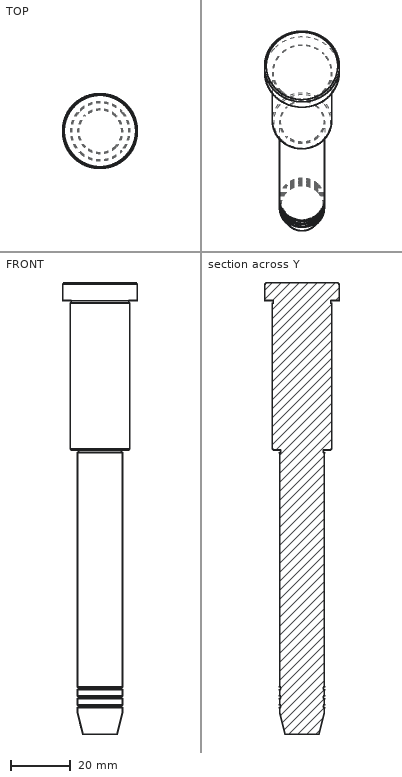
import cadquery as cq

total_length = 151.0
head_radius = 12.5
head_height = 6.0
shank_radius = 10.0
shank_length = 50.0
rod_radius = 7.5

head_chamfer = 0.6
shank_chamfer = 0.5
relief_depth = 0.3
relief_height = 0.9
relief_run_out = 0.3

groove_count = 3
lowest_groove_z = 9.4
groove_pitch = 3.0
groove_width = 1.0
groove_depth = 0.5

taper_height = 7.2
tip_radius = 5.7
tip_fillet = 0.3

head_bottom = total_length - head_height
shank_bottom = head_bottom - shank_length


def cylinder(radius, bottom, top):
    """Cylinder about the Z axis between two heights."""
    return cq.Workplane("XY").workplane(offset=bottom).circle(radius).extrude(top - bottom)


def relief_neck(radius, shoulder):
    """Ring of material cut just below a shoulder, running out in a cone."""
    floor = radius - relief_depth
    bottom = shoulder - relief_height
    return (
        cq.Workplane("XZ")
        .moveTo(floor, shoulder)
        .lineTo(floor, bottom + relief_run_out)
        .lineTo(radius, bottom)
        .lineTo(radius, shoulder)
        .close()
        .revolve(360, (0, 0, 0), (0, 1, 0))
    )


def ring_groove(center_z):
    """V-shaped ring groove around the rod."""
    half_width = groove_width / 2
    return (
        cq.Workplane("XZ")
        .moveTo(rod_radius, center_z - half_width)
        .lineTo(rod_radius - groove_depth, center_z)
        .lineTo(rod_radius, center_z + half_width)
        .close()
        .revolve(360, (0, 0, 0), (0, 1, 0))
    )


head = cylinder(head_radius, head_bottom, total_length).faces(">Z").edges().chamfer(head_chamfer)
shank = cylinder(shank_radius, shank_bottom, head_bottom).faces("<Z").edges().chamfer(shank_chamfer)
rod = cylinder(rod_radius, taper_height, shank_bottom)
tip = (
    cq.Workplane("XY")
    .circle(tip_radius)
    .workplane(offset=taper_height)
    .circle(rod_radius)
    .loft(ruled=True)
    .faces("<Z")
    .edges()
    .fillet(tip_fillet)
)

shank = shank.cut(relief_neck(shank_radius, head_bottom))
rod = rod.cut(relief_neck(rod_radius, shank_bottom))
for index in range(groove_count):
    rod = rod.cut(ring_groove(lowest_groove_z + index * groove_pitch))

result = head.union(shank).union(rod).union(tip)